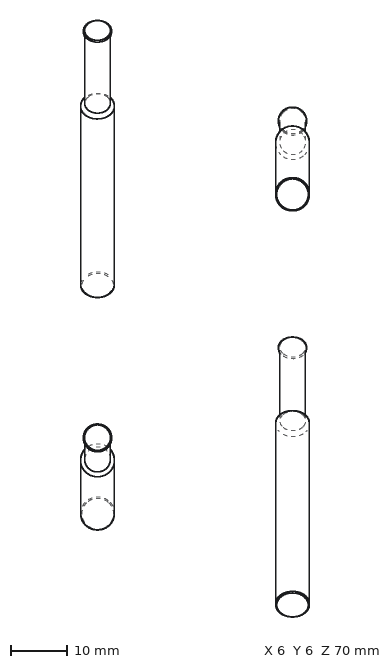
import cadquery as cq

total_length = 70
shank_diameter = 6.0
shank_length = 50.0
foot_chamfer = 0.2
neck_diameter = 4.55
head_diameter = 5.05
head_length = 1.4
head_chamfer = 0.23

shank_radius = shank_diameter / 2
neck_radius = neck_diameter / 2
head_radius = head_diameter / 2

shoulder_length = shank_radius - neck_radius

profile = [
    (0, 0),
    (shank_radius - foot_chamfer, 0),
    (shank_radius, foot_chamfer),
    (shank_radius, shank_length - shoulder_length),
    (neck_radius, shank_length),
    (neck_radius, total_length - head_length),
    (head_radius, total_length - head_chamfer),
    (head_radius - head_chamfer, total_length),
    (0, total_length),
]

result = cq.Workplane("XZ").polyline(profile).close().revolve(360, (0, 0), (0, 1))